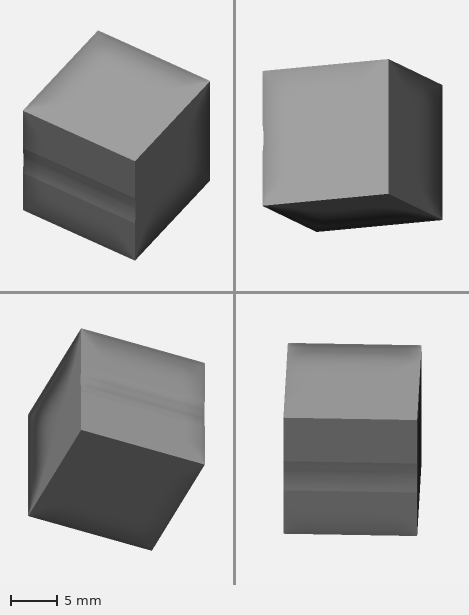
import cadquery as cq

length = 14.54
width = 15.0
height = 15.0
turn_angle = 35.0

groove_width = 3.75
groove_depth = 0.155


def make_block():
    return cq.Workplane("XY").box(length, width, height)


def make_groove():
    face_y = -width / 2
    half_width = groove_width / 2
    return (
        cq.Workplane("YZ")
        .moveTo(face_y, -half_width)
        .threePointArc((face_y + groove_depth, 0), (face_y, half_width))
        .close()
        .extrude(length / 2, both=True)
    )


result = make_block().cut(make_groove()).rotate((0, 0, 0), (0, 0, 1), turn_angle)